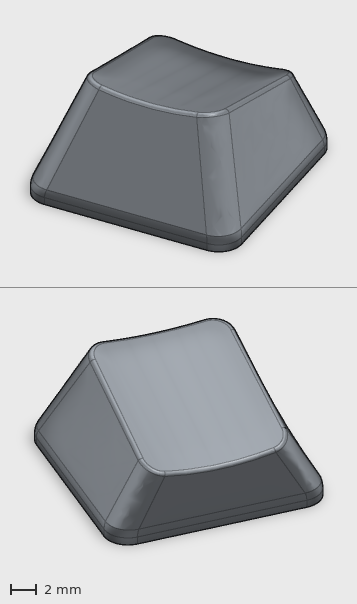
import cadquery as cq
import math

base_size = 18.16

skirt_height = 0.65
shoulder_top_height = 1.33
base_corner_radius = 2.0
shoulder_inset_front = 0.15
shoulder_inset_side = 0.13
shoulder_inset_back = 0.04

tilt_angle = 16.1
crown_width = 11.73
crown_front_y = -4.9
crown_back_y = 8.63
crown_mid_height = 8.28
crown_front_corner_radius = 1.9
crown_back_corner_radius = 1.73

dish_radius = 27.24
dish_floor_depth = 1.0
rim_fillet_radius = 0.36

tilt = math.radians(tilt_angle)
crown_mid_y = (crown_front_y + crown_back_y) / 2
crown_length = (crown_back_y - crown_front_y) / math.cos(tilt)
crown_plane = cq.Plane(
    origin=(0, crown_mid_y, crown_mid_height),
    xDir=(1, 0, 0),
    normal=(0, math.sin(tilt), math.cos(tilt)),
)


def outline_wire(width, length, front_radius, back_radius, location):
    """Rounded rectangle centred on the given location."""
    sketch = cq.Sketch().rect(width, length)
    sketch = sketch.vertices("<Y").fillet(front_radius)
    sketch = sketch.reset().vertices(">Y").fillet(back_radius)
    return sketch.reset().faces().val().outerWire().moved(location)


def shoulder_wire(fraction):
    """Level outline at a fraction of the shoulder height; its inset grows as a parabola."""
    bend = fraction * fraction
    width = base_size - 2 * shoulder_inset_side * bend
    length = base_size - (shoulder_inset_front + shoulder_inset_back) * bend
    centre_y = (shoulder_inset_front - shoulder_inset_back) / 2 * bend
    height = skirt_height + (shoulder_top_height - skirt_height) * fraction
    location = cq.Location((0, centre_y, height))
    return outline_wire(width, length, base_corner_radius, base_corner_radius, location)


def make_skirt():
    return cq.Workplane(cq.Solid.extrudeLinear(shoulder_wire(0), [], cq.Vector(0, 0, -skirt_height)))


def make_shoulder():
    """Smooth bulge from the vertical skirt to the leaning walls."""
    return cq.Workplane(cq.Solid.makeLoft([shoulder_wire(0), shoulder_wire(0.5), shoulder_wire(1)]))


def make_walls():
    """Ruled walls from the level shoulder to the tilted crown."""
    crown = outline_wire(
        crown_width,
        crown_length,
        crown_front_corner_radius,
        crown_back_corner_radius,
        cq.Location(crown_plane),
    )
    return cq.Workplane(cq.Solid.makeLoft([shoulder_wire(1), crown], True))


def make_dish_cutter():
    """Long cylinder parallel to the tilted top, sunk below the crown plane."""
    along_top = cq.Vector(0, math.cos(tilt), -math.sin(tilt))
    axis_mid = crown_plane.toWorldCoords((0, 0, dish_radius - dish_floor_depth))
    start = axis_mid - along_top * base_size
    return cq.Workplane(cq.Solid.makeCylinder(dish_radius, 2 * base_size, start, along_top))


body = make_skirt().union(make_shoulder()).union(make_walls()).cut(make_dish_cutter())

dish_face = body.faces("%CYLINDER").faces(cq.selectors.AreaNthSelector(-1))
result = dish_face.edges().fillet(rim_fillet_radius)